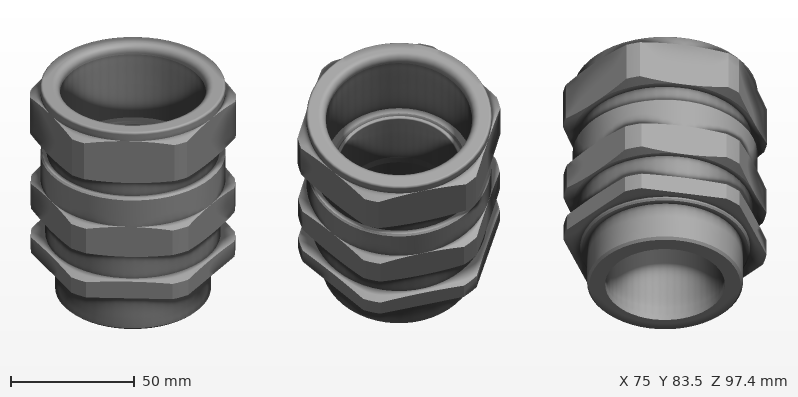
import cadquery as cq
import math


ACROSS_FLATS = 75.0
BODY_HEX_RADIUS = 41.4
CAP_HEX_DIAMETER = 83.5
CAP_HEX_RADIUS = CAP_HEX_DIAMETER / 2
BEVEL_ANGLE = 18.5
BEVEL_SLOPE = math.tan(math.radians(BEVEL_ANGLE))

RING_RADIUS = ACROSS_FLATS / 2

ENTRY_BORE_RADIUS = 24.3
ENTRY_LEAD_IN = 2.9
ENTRY_END_RADIUS = 31.6
ENTRY_END_CHAMFER = 1.0
COLLAR_RADIUS = 34.5
COLLAR_CHAMFER = 0.7
COLLAR_BOTTOM = 17.4
ENTRY_HEX_BOTTOM = 18.8
ENTRY_HEX_TOP = 27.1
ENTRY_BEVEL_ANGLE = 10
ENTRY_BEVEL_SLOPE = math.tan(math.radians(ENTRY_BEVEL_ANGLE))
ENTRY_SHOULDER_RADIUS = 35.55
ENTRY_TOP = 38.5

MIDDLE_HEX_TOP = 52.7
RING_TOP = 65.9
RING_CHAMFER = 0.7
NECK_RADIUS = 35.1
NECK_TOP = 79.1
CABLE_BORE_RADIUS = 30.3
LEDGE_HEIGHT = 63.2
SEAT_RADIUS = 26.6
SEAT_CHAMFER = 1.1

CAP_BOTTOM = 73.5
CAP_HEX_TOP = 93.4
CAP_TOP = 97.4
CAP_EDGE_FILLET = 1.0
THROAT_RADIUS = 29.6
THROAT_FILLET = 3.0
LIP_THICKNESS = 3.9

SEAL_BORE_RADIUS = 24.7
SEAL_TOP = 63.5
SEAL_OUTER_CHAMFER = 0.6
SEAL_INNER_FILLET = 0.5


def disc(radius, bottom, top):
    return cq.Workplane("XY").workplane(offset=bottom).circle(radius).extrude(top - bottom)


def revolved(outline):
    """Turn an outline of (radius, height) points about the Z axis."""
    return cq.Workplane("XZ").polyline(outline).close().revolve(360, (0, 0), (0, 1))


def hexagon(corner_radius, bottom, top):
    """Hexagon with flats facing +X and -X and round corners."""
    corner_diameter = ACROSS_FLATS / math.cos(math.pi / 6)
    prism = (
        cq.Workplane("XY")
        .workplane(offset=bottom)
        .polygon(6, corner_diameter)
        .extrude(top - bottom)
        .rotate((0, 0, 0), (0, 0, 1), 30)
    )
    return prism.intersect(disc(corner_radius, bottom, top))


def bevelled_hexagon(corner_radius, bottom, top):
    """Hexagon bevelled on its top and bottom, from the ring radius outwards."""
    drop = (corner_radius - RING_RADIUS) * BEVEL_SLOPE
    blank = revolved([
        (0, bottom),
        (RING_RADIUS, bottom),
        (corner_radius, bottom + drop),
        (corner_radius, top - drop),
        (RING_RADIUS, top),
        (0, top),
    ])
    return hexagon(corner_radius, bottom, top).intersect(blank)


def entry_hexagon():
    """Hexagon bevelled on its top only, from the shoulder outwards."""
    drop = (BODY_HEX_RADIUS - ENTRY_SHOULDER_RADIUS) * ENTRY_BEVEL_SLOPE
    blank = revolved([
        (0, ENTRY_HEX_BOTTOM),
        (BODY_HEX_RADIUS, ENTRY_HEX_BOTTOM),
        (BODY_HEX_RADIUS, ENTRY_HEX_TOP - drop),
        (ENTRY_SHOULDER_RADIUS, ENTRY_HEX_TOP),
        (0, ENTRY_HEX_TOP),
    ])
    return hexagon(BODY_HEX_RADIUS, ENTRY_HEX_BOTTOM, ENTRY_HEX_TOP).intersect(blank)


def make_entry_body():
    end = disc(ENTRY_END_RADIUS, 0, COLLAR_BOTTOM).faces("<Z").chamfer(ENTRY_END_CHAMFER)
    collar = disc(COLLAR_RADIUS, COLLAR_BOTTOM, ENTRY_HEX_BOTTOM).faces("<Z").chamfer(COLLAR_CHAMFER)
    shoulder = disc(ENTRY_SHOULDER_RADIUS, ENTRY_HEX_TOP, ENTRY_TOP)
    body = end.union(collar).union(entry_hexagon()).union(shoulder)
    bore = revolved([
        (0, 0),
        (ENTRY_BORE_RADIUS, 0),
        (ENTRY_BORE_RADIUS, ENTRY_TOP - ENTRY_LEAD_IN),
        (SEAL_BORE_RADIUS, ENTRY_TOP),
        (0, ENTRY_TOP),
    ])
    return body.cut(bore)


def make_middle_body():
    ring = disc(RING_RADIUS, MIDDLE_HEX_TOP, RING_TOP).faces(">Z").chamfer(RING_CHAMFER)
    neck = disc(NECK_RADIUS, RING_TOP, NECK_TOP)
    body = bevelled_hexagon(BODY_HEX_RADIUS, ENTRY_TOP, MIDDLE_HEX_TOP).union(ring).union(neck)
    bore = revolved([
        (0, ENTRY_TOP),
        (SEAT_RADIUS, ENTRY_TOP),
        (SEAT_RADIUS, LEDGE_HEIGHT - SEAT_CHAMFER),
        (SEAT_RADIUS + SEAT_CHAMFER, LEDGE_HEIGHT),
        (CABLE_BORE_RADIUS, LEDGE_HEIGHT),
        (CABLE_BORE_RADIUS, NECK_TOP),
        (0, NECK_TOP),
    ])
    return body.cut(bore)


def make_cap_nut():
    collar = disc(RING_RADIUS, CAP_HEX_TOP, CAP_TOP).faces(">Z").edges().fillet(CAP_EDGE_FILLET)
    nut = bevelled_hexagon(CAP_HEX_RADIUS, CAP_BOTTOM, CAP_HEX_TOP).union(collar)
    nut = nut.cut(disc(NECK_RADIUS, CAP_BOTTOM, NECK_TOP))
    nut = nut.cut(disc(CABLE_BORE_RADIUS, NECK_TOP, CAP_TOP - LIP_THICKNESS))
    return nut.cut(throat())


def throat():
    """Opening through the lip, flaring out to the top face in a quarter round."""
    bottom = CAP_TOP - LIP_THICKNESS
    flare_bottom = CAP_TOP - THROAT_FILLET
    flare_radius = THROAT_RADIUS + THROAT_FILLET
    outline = (
        cq.Workplane("XZ")
        .moveTo(0, bottom)
        .lineTo(THROAT_RADIUS, bottom)
        .lineTo(THROAT_RADIUS, flare_bottom)
        .radiusArc((flare_radius, CAP_TOP), THROAT_FILLET)
        .lineTo(0, CAP_TOP)
        .close()
    )
    return outline.revolve(360, (0, 0), (0, 1))


def make_seal():
    """Sleeve filling the middle body's seat, its rim chamfered outside and rounded inside."""
    sleeve = disc(SEAT_RADIUS, ENTRY_TOP, SEAL_TOP).faces(">Z").chamfer(SEAL_OUTER_CHAMFER)
    sleeve = sleeve.cut(disc(SEAL_BORE_RADIUS, ENTRY_TOP, SEAL_TOP))
    inner_rim = sleeve.faces(">Z").edges(cq.selectors.RadiusNthSelector(0))
    return inner_rim.fillet(SEAL_INNER_FILLET)


entry_body = make_entry_body()
middle_body = make_middle_body()
cap_nut = make_cap_nut()
seal = make_seal()

result = cq.Compound.makeCompound([
    entry_body.solids().val(),
    middle_body.solids().val(),
    cap_nut.solids().val(),
    seal.solids().val(),
])